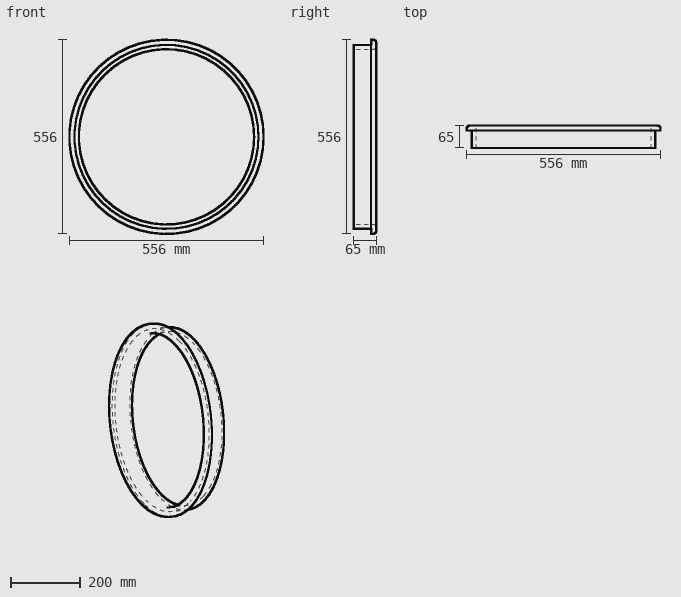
import cadquery as cq

outer_radius = 278.0
bore_radius = 250.0
sleeve_radius = 263.0
total_depth = 65.0
flange_depth = 15.0
rim_straight_depth = 5.0
edge_round = flange_depth - rim_straight_depth

front_y = -total_depth / 2
back_y = total_depth / 2
flange_y = back_y - flange_depth
round_start_y = back_y - edge_round

section = (
    cq.Workplane("XY")
    .moveTo(bore_radius, front_y)
    .lineTo(sleeve_radius, front_y)
    .lineTo(sleeve_radius, flange_y)
    .lineTo(outer_radius, flange_y)
    .lineTo(outer_radius, round_start_y)
    .radiusArc((outer_radius - edge_round, back_y), -edge_round)
    .lineTo(bore_radius + edge_round, back_y)
    .radiusArc((bore_radius, round_start_y), -edge_round)
    .close()
)

result = section.revolve(360, (0, 0, 0), (0, 1, 0))